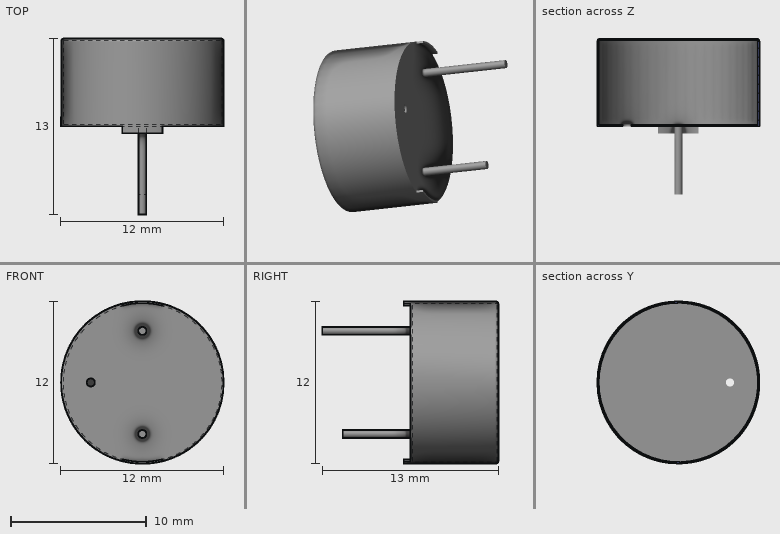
import cadquery as cq

body_diameter = 12.0
body_length = 6.5
edge_fillet = 0.25

tab_width = 3.0
tab_height = 0.5

wall_thickness = 0.15

pin_circle_radius = 3.8
pin_diameter = 0.6
long_pin_length = 6.5
short_pin_length = 5.0
vent_diameter = 0.6

cavity_diameter = body_diameter - 2 * wall_thickness


def cylinder(x, z, diameter, start_y, end_y):
    """Cylinder along Y, centred on (x, z), from start_y to a larger end_y."""
    length = end_y - start_y
    return (
        cq.Workplane("XZ", origin=(x, end_y, z))
        .circle(diameter / 2)
        .extrude(length)
    )


def make_body():
    """Housing with its closed end rounded."""
    housing = cylinder(0, 0, body_diameter, 0, body_length)
    return housing.faces(">Y").edges().fillet(edge_fillet)


def make_cavity():
    """Closed round space inside the housing, one wall thickness in from its side and both ends."""
    return cylinder(0, 0, cavity_diameter, wall_thickness, body_length - wall_thickness)


def make_tabs():
    """Two opposite pieces of a thin ring, cut to the tab width."""
    ring = (
        cq.Workplane("XZ")
        .circle(body_diameter / 2)
        .circle(cavity_diameter / 2)
        .extrude(tab_height)
    )
    strip = cq.Workplane("XZ").rect(tab_width, body_diameter).extrude(tab_height)
    return ring.intersect(strip)


def make_pin(z, length):
    """Pin standing out from the pin face toward -Y."""
    return cylinder(0, z, pin_diameter, -length, 0)


vent_hole = cylinder(-pin_circle_radius, 0, vent_diameter, 0, wall_thickness)

result = (
    make_body()
    .cut(make_cavity())
    .union(make_tabs())
    .union(make_pin(pin_circle_radius, long_pin_length))
    .union(make_pin(-pin_circle_radius, short_pin_length))
    .cut(vent_hole)
)